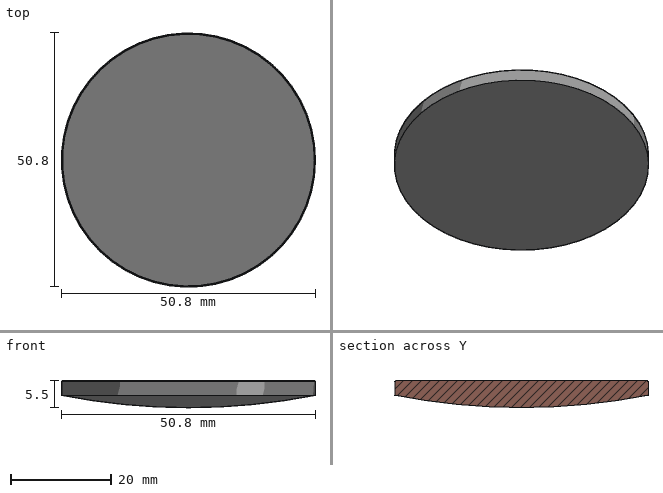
import cadquery as cq

diameter = 50.8
total_thickness = 5.5
dome_depth = 2.5
bevel = 0.25

radius = diameter / 2
top_z = total_thickness / 2
apex_z = -total_thickness / 2
rim_bottom_z = apex_z + dome_depth

sphere_radius = (radius**2 + dome_depth**2) / (2 * dome_depth)

mid_r = radius / 2
mid_z = apex_z + sphere_radius - (sphere_radius**2 - mid_r**2) ** 0.5

half_section = (
    cq.Workplane("XZ")
    .moveTo(0, apex_z)
    .threePointArc((mid_r, mid_z), (radius, rim_bottom_z))
    .lineTo(radius, top_z - bevel)
    .lineTo(radius - bevel, top_z)
    .lineTo(0, top_z)
    .close()
)
result = half_section.revolve(360, (0, 0, 0), (0, 1, 0))